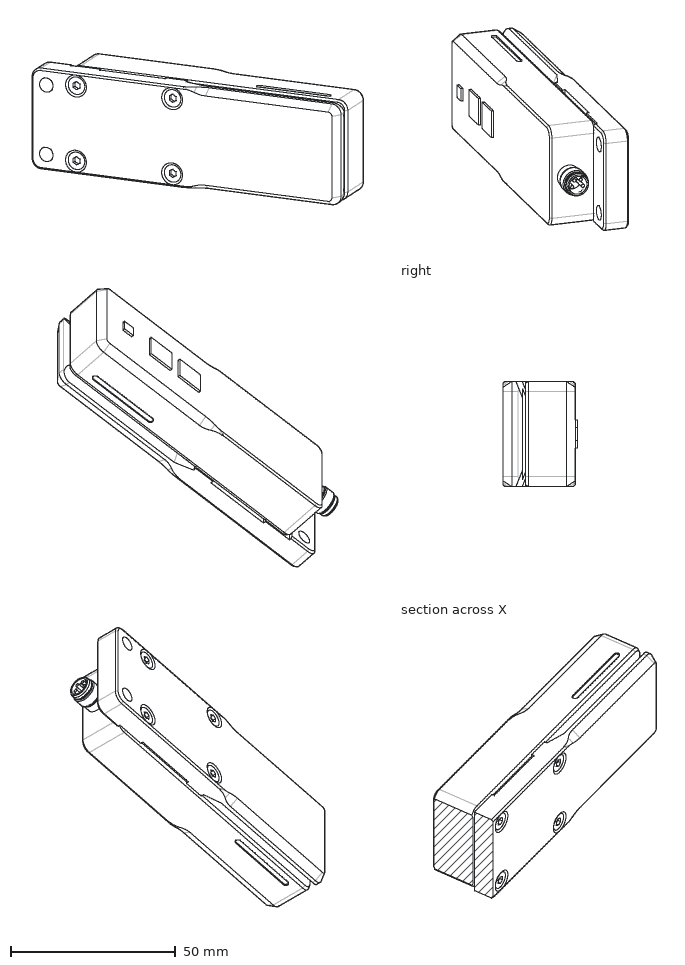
import cadquery as cq
import math


length = 102.0
height = 32.0
half_height = height / 2
bevel_cutter_reach = 10.2
corner_radius = 3.1

small_bevel = (0.6, 0.6)
large_bevel = (1.8, 2.8)
housing_front_bevel = (0.6, 0.9)
split_x = 81.6

runout_half_length = 3.8
runout_half_rise = 0.56
plate_runout_x = 54.3
housing_runout_x = 55.3

plate_end_y = 8.1
pad_y = 6.8
fork_y = 6.0
housing_x = 10.0
pad_end_x = 51.5
window_x = (20.0, 41.8)

lead_in_inset = 5.1
lead_in_depth = 2.0
fork_tip_radius = 1.4
lead_in_x = 55.3
lead_in_start_x = 49.0
lead_in_runout_slope = 0.28

mount_hole_diameter = 4.5
mount_hole_x = 5.0
mount_hole_z = 11.0
screw_positions_x = (14.9, 46.9)
screw_z = 11.9
screw_sink_diameter = 6.9
screw_head_diameter = 5.5
screw_sink_depth = 0.4
screw_socket_size = 2.5
screw_socket_depth = 1.2

housing_top_y = 22.0
slot_x = (70.4, 95.1)
slot_y = 10.5
slot_width = 1.7
slot_depth = 0.5

keys = ((61.9, 70.5, 8.6), (73.8, 82.4, 8.6), (89.9, 93.5, 4.0))
key_top_y = 22.7

connector_y = 16.0
connector_tip_x = 1.4
socket_diameter = 5.7
socket_depth = 5.1
pin_diameter = 1.0
pin_length = 4.7
pins = ((1.0, 1.5), (-1.0, 1.5), (1.7, -0.5), (-1.7, -0.5))
dimple_diameter = 1.6
dimple_depth = 0.3
dimple_x = 8.9
dimple_angle = 42.0


def box(x0, x1, y0, y1, z0, z1):
    return cq.Workplane("XY").box(x1 - x0, y1 - y0, z1 - z0, centered=False).translate((x0, y0, z0))


def slab(x0, x1, y, distance, inset=0.0):
    """Rounded plate outline at y, extruded by distance along Y and tapered in by inset."""
    direction = math.copysign(1, distance)
    plane = cq.Plane(origin=((x0 + x1) / 2, y, 0), xDir=(1, 0, 0), normal=(0, direction, 0))
    outline = cq.Sketch().rect(x1 - x0, height).vertices().fillet(corner_radius)
    taper = math.degrees(math.atan(inset / abs(distance)))
    return cq.Workplane(plane).placeSketch(outline).extrude(abs(distance), taper=taper)


def bevelled_slab(x0, x1, y0, y1, front_bevel, rear_bevel):
    """Rounded block whose rims at y0 and y1 are bevelled."""
    front_y = y0 + front_bevel[1]
    rear_y = y1 - rear_bevel[1]
    body = slab(x0, x1, front_y, rear_y - front_y)
    body = body.union(slab(x0, x1, front_y, -front_bevel[1], front_bevel[0]))
    return body.union(slab(x0, x1, rear_y, rear_bevel[1], rear_bevel[0]))


def joined_halves(near_half, far_half):
    """The part of near_half below split_x together with the part of far_half above it."""
    near_side = box(0, split_x, 0, key_top_y, -half_height, half_height)
    return near_half.intersect(near_side).union(far_half.cut(near_side))


def both_sides(cutter):
    return cutter.union(cutter.mirror("XY"))


def bevel_plane(y, toward_y, inset, depth):
    """Plane lying on the +Z bevel at the rim y; local x runs along +X, local y points out of the part."""
    rim = math.hypot(inset, depth)
    outward = (0, toward_y * inset / rim, depth / rim)
    normal = cq.Vector(1, 0, 0).cross(cq.Vector(*outward))
    origin = (0, y, half_height - inset)
    return cq.Plane(origin=origin, xDir=(1, 0, 0), normal=normal.toTuple())


def side_bevel_cutter(y, toward_y, runout_x):
    """Large bevel along both long sides that runs out with two tangent arcs."""
    start_x = runout_x - runout_half_length
    end_x = runout_x + runout_half_length
    rise = 2 * runout_half_rise
    clearance = 4.1
    profile = (
        cq.Workplane(bevel_plane(y, toward_y, *large_bevel))
        .moveTo(split_x, 0)
        .lineTo(end_x, 0)
        .tangentArcPoint((runout_x, runout_half_rise), relative=False)
        .tangentArcPoint((start_x, rise), relative=False)
        .lineTo(start_x, clearance)
        .lineTo(split_x, clearance)
        .close()
    )
    return both_sides(profile.extrude(bevel_cutter_reach, both=True))


def lead_in_cutter():
    """Shallow slopes along the long inner edges of the fork plate."""
    clearance = 3.1
    profile = (
        cq.Workplane(bevel_plane(fork_y, 1, lead_in_inset, lead_in_depth))
        .moveTo(length, 0)
        .lineTo(lead_in_x, 0)
        .lineTo(lead_in_start_x, (lead_in_x - lead_in_start_x) * lead_in_runout_slope)
        .lineTo(lead_in_start_x, clearance)
        .lineTo(length, clearance)
        .close()
    )
    return both_sides(profile.extrude(bevel_cutter_reach, both=True))


def fork_tip_cutter():
    """Rounds the inner edge of the plate at its +X end."""
    start_x = length - fork_tip_radius
    return (
        cq.Workplane("XY")
        .moveTo(start_x, fork_y)
        .radiusArc((length, fork_y - fork_tip_radius), fork_tip_radius)
        .lineTo(length, fork_y)
        .close()
        .extrude(half_height, both=True)
    )


def make_plate():
    near_half = bevelled_slab(0, length, 0, plate_end_y, small_bevel, small_bevel)
    far_half = bevelled_slab(0, length, 0, plate_end_y, large_bevel, small_bevel)
    plate = joined_halves(near_half, far_half)
    plate = plate.cut(side_bevel_cutter(0, -1, plate_runout_x))

    recesses = ((housing_x, pad_end_x, pad_y), (*window_x, fork_y), (pad_end_x, length, fork_y))
    for x0, x1, floor_y in recesses:
        plate = plate.cut(box(x0, x1, floor_y, plate_end_y, -half_height, half_height))

    plate = plate.cut(lead_in_cutter()).cut(fork_tip_cutter())

    front = cq.Workplane("XZ")
    holes = [(mount_hole_x, z) for z in (-mount_hole_z, mount_hole_z)]
    plate = plate.cut(front.pushPoints(holes).circle(mount_hole_diameter / 2).extrude(-plate_end_y))
    for x in screw_positions_x:
        for z in (-screw_z, screw_z):
            plate = plate.cut(screw_recess().translate((x, 0, z)))
    return plate


def screw_recess():
    """Tapered sink around a flat screw head with a hexagon socket."""
    sink_wall = cq.Solid.makeCone(
        screw_sink_diameter / 2, screw_head_diameter / 2, screw_sink_depth,
        pnt=cq.Vector(0, 0, 0), dir=cq.Vector(0, 1, 0),
    )
    socket = (
        cq.Workplane("XZ")
        .transformed(rotate=(0, 0, 30))
        .polygon(6, screw_socket_size)
        .extrude(-screw_sink_depth - screw_socket_depth)
    )
    return socket.union(cq.Workplane(sink_wall))


def make_housing():
    near_half = bevelled_slab(housing_x, length, pad_y, housing_top_y, housing_front_bevel, small_bevel)
    far_half = bevelled_slab(housing_x, length, pad_y, housing_top_y, housing_front_bevel, large_bevel)
    housing = joined_halves(near_half, far_half)
    housing = housing.cut(side_bevel_cutter(housing_top_y, 1, housing_runout_x))

    slot = (
        cq.Workplane("XY", origin=(sum(slot_x) / 2, slot_y, half_height - slot_depth))
        .slot2D(slot_x[1] - slot_x[0], slot_width)
        .extrude(slot_depth)
    )
    housing = housing.cut(both_sides(slot))
    for x0, x1, key_height in keys:
        housing = housing.union(box(x0, x1, housing_top_y, key_top_y, -key_height / 2, key_height / 2))
    return housing


def make_connector():
    """Turned M8-style plug with a pin socket in its tip, along X."""
    tip_diameter, lip_diameter, neck_diameter, collar_diameter = 6.6, 7.2, 6.4, 8.0
    outline = (
        (connector_tip_x, tip_diameter),
        (2.0, lip_diameter),
        (3.1, lip_diameter),
        (3.1, neck_diameter),
        (3.5, neck_diameter),
        (3.5, lip_diameter),
        (3.8, collar_diameter),
        (6.7, collar_diameter),
        (7.0, lip_diameter),
        (7.0, neck_diameter),
        (7.4, neck_diameter),
        (7.4, lip_diameter),
        (housing_x, lip_diameter),
    )
    points = [(x, diameter / 2) for x, diameter in outline]
    points = [(connector_tip_x, 0), *points, (housing_x, 0)]
    plug = cq.Workplane("XY").polyline(points).close().revolve(360, (0, 0, 0), (1, 0, 0))

    tip = cq.Workplane("YZ", origin=(connector_tip_x, 0, 0))
    floor = cq.Workplane("YZ", origin=(connector_tip_x + socket_depth, 0, 0))
    plug = plug.cut(tip.circle(socket_diameter / 2).extrude(socket_depth))
    plug = plug.union(floor.pushPoints(pins).circle(pin_diameter / 2).extrude(-pin_length))

    dimple = (
        cq.Workplane("XY", origin=(dimple_x, 0, lip_diameter / 2 - dimple_depth))
        .circle(dimple_diameter / 2)
        .extrude(2 * dimple_depth)
        .rotate((0, 0, 0), (1, 0, 0), dimple_angle)
    )
    return plug.cut(dimple).translate((0, connector_y, 0))


result = make_plate().union(make_housing()).union(make_connector()).clean()